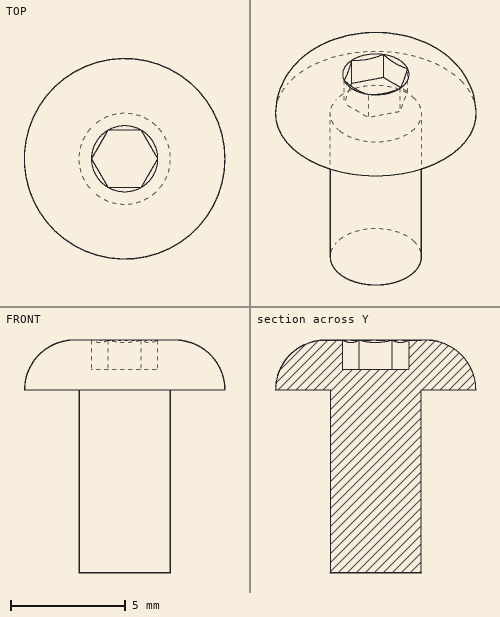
import cadquery as cq
import math

total_height = 10.21
shank_diameter = 4.0
head_diameter = 8.8
head_height = 2.21
top_face_diameter = 3.92
hex_across_flats = 2.51
socket_depth = 1.29
lead_in_angle = 30.0

shank_length = total_height - head_height
head_radius = head_diameter / 2
top_face_radius = top_face_diameter / 2

dome_radius = head_height
dome_center = head_radius - dome_radius
top_face_z = shank_length + math.sqrt(dome_radius**2 - (dome_center - top_face_radius) ** 2)

hex_across_corners = hex_across_flats / math.cos(math.radians(30))


def make_shank():
    return cq.Workplane("XY").circle(shank_diameter / 2).extrude(shank_length)


def make_head():
    middle = (
        dome_center + dome_radius * math.cos(math.radians(45)),
        shank_length + dome_radius * math.sin(math.radians(45)),
    )
    return (
        cq.Workplane("XZ")
        .moveTo(0, shank_length)
        .lineTo(0, top_face_z)
        .lineTo(top_face_radius, top_face_z)
        .threePointArc(middle, (head_radius, shank_length))
        .close()
        .revolve(360, (0, 0, 0), (0, 1, 0))
    )


def make_socket():
    hexagon = (
        cq.Workplane("XY")
        .workplane(offset=top_face_z - socket_depth)
        .polygon(6, hex_across_corners)
        .extrude(socket_depth)
    )
    mouth_radius = hex_across_corners / 2
    cone_depth = mouth_radius * math.tan(math.radians(lead_in_angle))
    lead_in = (
        cq.Workplane("XZ")
        .moveTo(0, top_face_z - cone_depth)
        .lineTo(mouth_radius, top_face_z)
        .lineTo(0, top_face_z)
        .close()
        .revolve(360, (0, 0, 0), (0, 1, 0))
    )
    return hexagon.union(lead_in)


result = make_shank().union(make_head()).cut(make_socket())